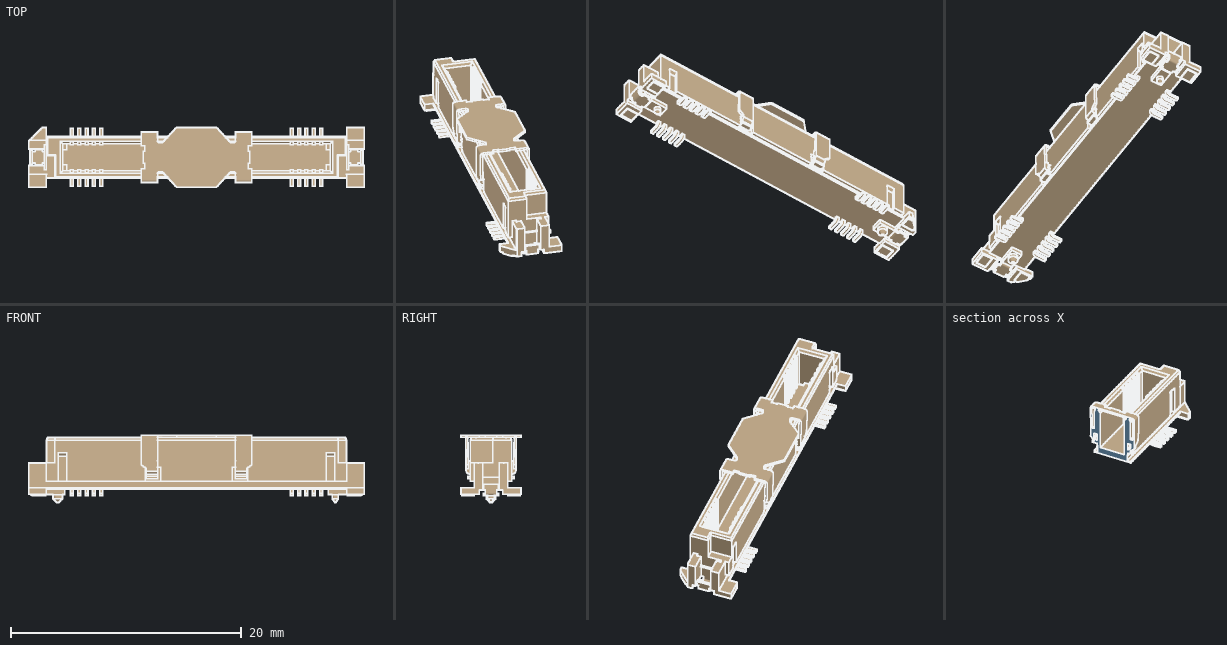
import cadquery as cq
import math


HOUSING_HALF_X = 13.0
HOUSING_HALF_Y = 1.8
HOUSING_TOP = 5.05
SHROUD_BOTTOM = 1.23
CORE_HALF_Y = 1.47
FLANGE_TOP = 0.7
BASE_BOTTOM = 0.53
RIM_DROP = 0.25
OUTER_BEVEL = 0.1
KEY_LEDGE_Z = 2.83
KEY_X = 12.3
KEY_Y = 0.13

CAVITY_HALF_X = 11.6
CAVITY_HALF_Y = 1.17
CAVITY_FLOOR = SHROUD_BOTTOM
INNER_BEVEL = 0.2
CORNER_POCKET_X = 0.35
CORNER_POCKET_Y = 0.52
CORNER_POCKET_DEPTH = 0.3

RECESS_DEPTH = 0.27
RECESS_FLOOR_Y = HOUSING_HALF_Y - RECESS_DEPTH
SLOT_X = (11.25, 12.0)
SLOT_SHOULDER_Z = 3.4
SLOT_TOP_Z = 3.7
CLIP_POCKET_X = (3.1, 4.45)
CLIP_POCKET_TOP = 2.45

END_X = 14.55
TOWER_INNER_Y = 0.71
TOWER_BOTTOM = 0.48
FOOT_HALF_Y = 2.6
FOOT_INNER_Y = 1.0
FOOT_BOTTOM = 0.1
FOOT_CORNER_CUT = 1.2
PAD_X = (13.06, 14.2)
PAD_Y = (1.46, 2.4)

BRACKET_THICKNESS = 0.2
BRACKET_OUTER_X = 14.43
BRACKET_HALF_Y = 0.5
BRACKET_BEND_RADIUS = 0.27
BRACKET_TAB_X = (13.36, 13.98)
BRACKET_TAB_HALF_Y = 0.68
BRACKET_LIP_TOP = 0.97
BRACKET_LIP_HALF_Y = 0.63
BRACKET_TONGUE_TOP = 1.59
BRACKET_TONGUE_HALF_Y = 1.1

PEG_X = 12.03
PEG_BOSS_X = (11.4, 13.0)
PEG_BOSS_HALF_Y = 0.5
PEG_BOSS_BOTTOM = 0.09
PEG_SHOULDER_Z = -0.27
PEG_TIP_Z = -0.6
LARGE_PEG_RADII = (0.42, 0.1)
SMALL_PEG_RADII = (0.27, 0.04)

PITCH = 0.635
FIRST_CONTACT_X = 13 * PITCH
CONTACTS_PER_GROUP = 5
CONTACT_WIDTH = 0.27
LEAD_THICKNESS = 0.22
LEAD_END_Y = 2.53
LEAD_INNER_Y = 1.4
LEAD_BEND_RADIUS = 0.34
BEAM_FACE_Y = 1.07
BEAM_TOP_Y = 1.34
BEAM_TOP_Z = HOUSING_TOP
BEAM_SHOULDER_Z = 4.83

CAP_THICKNESS = 0.2
CAP_TOP = HOUSING_TOP + CAP_THICKNESS
CAP_HALF_Y = FOOT_HALF_Y
CAP_FLAT_X = 1.73
CAP_NECK_X = 2.98
CAP_NECK_Y = 1.25
CAP_EDGE_X = 4.5
CAP_EDGE_Y = 1.0
CAP_TONGUE_X = 4.6
CAP_TONGUE_Y = 0.5
NOTCH_RADIUS = 0.18

LEG_X = (3.37, 4.8)
LEG_OUTER_Y = 2.2
LEG_KNEE_Y = 2.165
LEG_BEND_RADIUS = 0.28
LEG_NARROW_X = 4.36
LEG_TAPER_Z = (2.33, 2.68)
LEG_PAD_TOP = 3.0
LEG_KNEE_Z = 2.11
LEG_KNEE_RADIUS = 0.4
LEG_HOOK_TOP = 1.85
LEG_HOOK_BOTTOM = 1.48
LEG_HOOK_TIP_Y = 2.0


def block(x, y, z):
    """Box from (min, max) pairs along the three axes."""
    size = (x[1] - x[0], y[1] - y[0], z[1] - z[0])
    return cq.Workplane("XY").box(*size, centered=False).translate((x[0], y[0], z[0]))


def centred_block(half_x, half_y, z):
    return block((-half_x, half_x), (-half_y, half_y), z)


def mirror_y(part):
    return part.union(part.mirror("XZ"))


def mirror_x(part):
    return part.union(part.mirror("YZ"))


def all_four(part):
    return mirror_x(mirror_y(part))


def make_shroud():
    lower = centred_block(HOUSING_HALF_X, HOUSING_HALF_Y, (SHROUD_BOTTOM, KEY_LEDGE_Z))
    outline = [
        (-HOUSING_HALF_X, HOUSING_HALF_Y),
        (HOUSING_HALF_X, HOUSING_HALF_Y),
        (HOUSING_HALF_X, KEY_Y),
        (KEY_X, KEY_Y),
        (KEY_X, -HOUSING_HALF_Y),
        (-KEY_X, -HOUSING_HALF_Y),
        (-KEY_X, KEY_Y),
        (-HOUSING_HALF_X, KEY_Y),
    ]
    bevel_z = HOUSING_TOP - RIM_DROP
    upper = cq.Workplane("XY", origin=(0, 0, KEY_LEDGE_Z)).polyline(outline).close()
    upper = upper.extrude(bevel_z - KEY_LEDGE_Z)
    bevel_angle = math.degrees(math.atan2(OUTER_BEVEL, RIM_DROP))
    bevel = cq.Workplane("XY", origin=(0, 0, bevel_z)).polyline(outline).close()
    bevel = bevel.extrude(RIM_DROP, taper=bevel_angle)
    return lower.union(upper).union(bevel)


def make_base():
    core = centred_block(HOUSING_HALF_X, CORE_HALF_Y, (BASE_BOTTOM, SHROUD_BOTTOM))
    flange = centred_block(HOUSING_HALF_X, HOUSING_HALF_Y, (BASE_BOTTOM, FLANGE_TOP))
    return core.union(flange)


def make_cavity():
    well = centred_block(CAVITY_HALF_X, CAVITY_HALF_Y, (CAVITY_FLOOR, HOUSING_TOP))
    rim_x = CAVITY_HALF_X + INNER_BEVEL
    rim_y = CAVITY_HALF_Y + INNER_BEVEL
    rim_angle = math.degrees(math.atan2(INNER_BEVEL, RIM_DROP))
    rim = cq.Workplane("XY", origin=(0, 0, HOUSING_TOP)).rect(2 * rim_x, 2 * rim_y)
    rim = rim.extrude(-RIM_DROP, taper=rim_angle)
    corner = block(
        (CAVITY_HALF_X - CORNER_POCKET_X, CAVITY_HALF_X),
        (CAVITY_HALF_Y - CORNER_POCKET_Y, CAVITY_HALF_Y),
        (CAVITY_FLOOR - CORNER_POCKET_DEPTH, CAVITY_FLOOR),
    )
    return well.union(rim).union(all_four(corner))


def make_wall_recesses():
    """Roofed slots near the ends and the pockets that receive the cap legs."""
    profile = [
        (RECESS_FLOOR_Y, SHROUD_BOTTOM),
        (HOUSING_HALF_Y, SHROUD_BOTTOM),
        (HOUSING_HALF_Y, SLOT_TOP_Z),
        (RECESS_FLOOR_Y, SLOT_SHOULDER_Z),
    ]
    slot = cq.Workplane("YZ", origin=(SLOT_X[0], 0, 0)).polyline(profile).close()
    slot = slot.extrude(SLOT_X[1] - SLOT_X[0])
    pocket = block(
        CLIP_POCKET_X, (RECESS_FLOOR_Y, HOUSING_HALF_Y), (SHROUD_BOTTOM, CLIP_POCKET_TOP)
    )
    return all_four(slot.union(pocket))


def make_end_supports():
    """Pairs of towers with outward feet, slit for the brackets, plus solder pads."""
    end_x = (HOUSING_HALF_X, END_X)
    tower = block(end_x, (TOWER_INNER_Y, CORE_HALF_Y), (TOWER_BOTTOM, KEY_LEDGE_Z))
    foot = block(end_x, (FOOT_INNER_Y, FOOT_HALF_Y), (FOOT_BOTTOM, FLANGE_TOP))
    pad = block(PAD_X, PAD_Y, (0, FOOT_BOTTOM))
    slit = block(
        (HOUSING_HALF_X, HOUSING_HALF_X + BRACKET_THICKNESS),
        (0, BRACKET_TONGUE_HALF_Y),
        (TOWER_BOTTOM, KEY_LEDGE_Z),
    )
    supports = all_four(tower.union(foot).cut(slit).union(pad))
    corner = [
        (-END_X, FOOT_HALF_Y),
        (-END_X + FOOT_CORNER_CUT, FOOT_HALF_Y),
        (-END_X, FOOT_HALF_Y - FOOT_CORNER_CUT),
    ]
    return supports.cut(cq.Workplane("XY").polyline(corner).close().extrude(KEY_LEDGE_Z))


def make_brackets():
    """U-shaped strip with side tabs, an outer lip and a wide tongue at the housing."""
    outer = block(
        (HOUSING_HALF_X, BRACKET_OUTER_X), (-BRACKET_HALF_Y, BRACKET_HALF_Y), (0, BRACKET_LIP_TOP)
    )
    outer = outer.edges("|Y and <Z").fillet(BRACKET_BEND_RADIUS)
    inner_x = (HOUSING_HALF_X + BRACKET_THICKNESS, BRACKET_OUTER_X - BRACKET_THICKNESS)
    channel = block(
        inner_x, (-BRACKET_HALF_Y, BRACKET_HALF_Y), (BRACKET_THICKNESS, BRACKET_LIP_TOP)
    )
    channel = channel.edges("|Y and <Z").fillet(BRACKET_BEND_RADIUS - BRACKET_THICKNESS)
    strip = outer.cut(channel)
    tabs = block(
        BRACKET_TAB_X, (-BRACKET_TAB_HALF_Y, BRACKET_TAB_HALF_Y), (0, BRACKET_THICKNESS)
    )
    lip = block(
        (BRACKET_OUTER_X - BRACKET_THICKNESS, BRACKET_OUTER_X),
        (-BRACKET_LIP_HALF_Y, BRACKET_LIP_HALF_Y),
        (TOWER_BOTTOM, BRACKET_LIP_TOP),
    )
    tongue = block(
        (HOUSING_HALF_X, HOUSING_HALF_X + BRACKET_THICKNESS),
        (-BRACKET_TONGUE_HALF_Y, BRACKET_TONGUE_HALF_Y),
        (TOWER_BOTTOM, BRACKET_TONGUE_TOP),
    )
    return mirror_x(strip.union(tabs).union(lip).union(tongue))


def make_peg(x, radii):
    shank, tip = radii
    profile = [
        (0, BASE_BOTTOM),
        (shank, BASE_BOTTOM),
        (shank, PEG_SHOULDER_Z),
        (tip, PEG_TIP_Z),
        (0, PEG_TIP_Z),
    ]
    return cq.Workplane("XZ").polyline(profile).close().revolve().translate((x, 0, 0))


def make_pegs():
    boss = block(
        PEG_BOSS_X, (-PEG_BOSS_HALF_Y, PEG_BOSS_HALF_Y), (PEG_BOSS_BOTTOM, BASE_BOTTOM)
    )
    pegs = make_peg(-PEG_X, LARGE_PEG_RADII).union(make_peg(PEG_X, SMALL_PEG_RADII))
    return mirror_x(boss).union(pegs)


def make_contact():
    """Gull-wing lead under the base and a ramped beam against the cavity wall."""
    inner_radius = LEAD_BEND_RADIUS - LEAD_THICKNESS
    lead = (
        cq.Workplane("YZ")
        .moveTo(LEAD_END_Y, 0)
        .lineTo(LEAD_INNER_Y + LEAD_BEND_RADIUS, 0)
        .radiusArc((LEAD_INNER_Y, LEAD_BEND_RADIUS), LEAD_BEND_RADIUS)
        .lineTo(LEAD_INNER_Y, BASE_BOTTOM)
        .lineTo(LEAD_INNER_Y + LEAD_THICKNESS, BASE_BOTTOM)
        .lineTo(LEAD_INNER_Y + LEAD_THICKNESS, LEAD_BEND_RADIUS)
        .radiusArc((LEAD_INNER_Y + LEAD_BEND_RADIUS, LEAD_THICKNESS), -inner_radius)
        .lineTo(LEAD_END_Y, LEAD_THICKNESS)
        .close()
        .extrude(CONTACT_WIDTH / 2, both=True)
    )
    beam_profile = [
        (BEAM_FACE_Y, CAVITY_FLOOR),
        (BEAM_TOP_Y, CAVITY_FLOOR),
        (BEAM_TOP_Y, BEAM_TOP_Z),
        (BEAM_FACE_Y, BEAM_SHOULDER_Z),
    ]
    beam = cq.Workplane("YZ").polyline(beam_profile).close().extrude(CONTACT_WIDTH / 2, both=True)
    return lead.union(beam)


def make_contacts():
    contact = make_contact()
    group = cq.Workplane("XY")
    for index in range(CONTACTS_PER_GROUP):
        group = group.add(contact.translate((FIRST_CONTACT_X + index * PITCH, 0, 0)))
    return all_four(group.combine())


def make_cap_plate():
    quarter = [
        (0, 0),
        (0, CAP_HALF_Y),
        (CAP_FLAT_X, CAP_HALF_Y),
        (CAP_NECK_X, CAP_NECK_Y),
        (LEG_X[0], CAP_NECK_Y),
        (LEG_X[0], LEG_OUTER_Y - LEG_BEND_RADIUS),
        (LEG_X[1], LEG_OUTER_Y - LEG_BEND_RADIUS),
        (LEG_X[1], CAP_EDGE_Y),
        (CAP_EDGE_X, CAP_EDGE_Y),
        (CAP_EDGE_X, CAP_TONGUE_Y),
        (CAP_TONGUE_X, CAP_TONGUE_Y),
        (CAP_TONGUE_X, 0),
    ]
    plate = cq.Workplane("XY", origin=(0, 0, HOUSING_TOP)).polyline(quarter).close()
    plate = plate.extrude(CAP_THICKNESS)
    neck_corners = cq.selectors.BoxSelector(
        (CAP_NECK_X - NOTCH_RADIUS, CAP_NECK_Y - NOTCH_RADIUS, HOUSING_TOP),
        (LEG_X[0] + NOTCH_RADIUS, CAP_NECK_Y + NOTCH_RADIUS, CAP_TOP),
    )
    return all_four(plate.edges("|Z").edges(neck_corners).fillet(NOTCH_RADIUS))


def make_leg():
    """Leg bent down from the cap, tapering to a hook that enters the wall pocket."""
    inner_y = LEG_OUTER_Y - CAP_THICKNESS
    bend_y = LEG_OUTER_Y - LEG_BEND_RADIUS
    bend_z = CAP_TOP - LEG_BEND_RADIUS
    profile = (
        cq.Workplane("YZ", origin=(LEG_X[0], 0, 0))
        .moveTo(bend_y, CAP_TOP)
        .radiusArc((LEG_OUTER_Y, bend_z), LEG_BEND_RADIUS)
        .lineTo(LEG_KNEE_Y, LEG_KNEE_Z)
        .radiusArc((HOUSING_HALF_Y, LEG_HOOK_TOP), LEG_KNEE_RADIUS)
        .lineTo(HOUSING_HALF_Y, LEG_HOOK_BOTTOM + CAP_THICKNESS)
        .lineTo(LEG_HOOK_TIP_Y, LEG_HOOK_BOTTOM + CAP_THICKNESS)
        .lineTo(LEG_HOOK_TIP_Y, LEG_HOOK_BOTTOM)
        .lineTo(RECESS_FLOOR_Y, LEG_HOOK_BOTTOM)
        .lineTo(RECESS_FLOOR_Y, LEG_HOOK_TOP)
        .lineTo(HOUSING_HALF_Y, LEG_KNEE_Z)
        .lineTo(HOUSING_HALF_Y, LEG_PAD_TOP)
        .lineTo(LEG_KNEE_Y - CAP_THICKNESS, LEG_PAD_TOP)
        .lineTo(inner_y, bend_z)
        .radiusArc((bend_y, HOUSING_TOP), CAP_THICKNESS - LEG_BEND_RADIUS)
        .close()
    )
    leg = profile.extrude(LEG_X[1] - LEG_X[0])
    taper_low, taper_high = LEG_TAPER_Z
    side_relief = [
        (LEG_X[1], taper_high),
        (LEG_NARROW_X, taper_low),
        (LEG_NARROW_X, LEG_HOOK_BOTTOM),
        (LEG_X[1], LEG_HOOK_BOTTOM),
    ]
    relief = cq.Workplane("XZ").polyline(side_relief).close().extrude(-LEG_OUTER_Y)
    pad_relief = block(
        (LEG_NARROW_X, LEG_X[1]),
        (HOUSING_HALF_Y, LEG_KNEE_Y - CAP_THICKNESS),
        (LEG_HOOK_BOTTOM, LEG_PAD_TOP),
    )
    return leg.cut(relief).cut(pad_relief)


housing = make_shroud().union(make_base())
housing = housing.cut(make_cavity()).cut(make_wall_recesses())
connector = housing.union(make_end_supports()).union(make_brackets()).union(make_pegs())
connector = connector.union(make_contacts())
cap = make_cap_plate().union(all_four(make_leg()))
result = connector.union(cap)